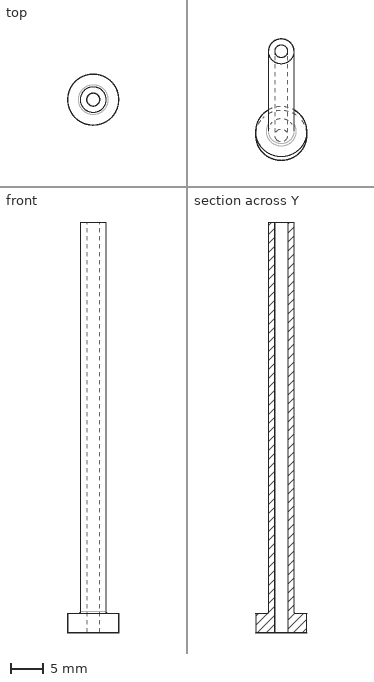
import cadquery as cq

total_length = 64.0
head_diameter = 8.0
head_height = 3.0

shaft_diameter = head_diameter / 2
bore_diameter = shaft_diameter / 2
root_fillet = 0.3

head = cq.Workplane("XY").circle(head_diameter / 2).extrude(head_height)
shaft = cq.Workplane("XY").circle(shaft_diameter / 2).extrude(total_length)
sleeve = head.union(shaft)

head_top = cq.selectors.NearestToPointSelector((0, 0, head_height))
inner_edge = cq.selectors.RadiusNthSelector(0)
sleeve = sleeve.faces(head_top).edges(inner_edge).fillet(root_fillet)

bore = cq.Workplane("XY").circle(bore_diameter / 2).extrude(total_length)
result = sleeve.cut(bore)